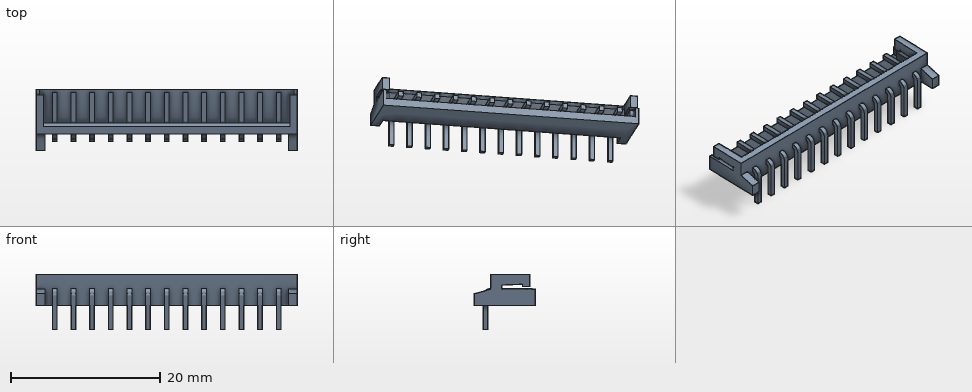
import cadquery as cq


length = 35.0
depth = 6.0
height = 4.2
floor_top = 1.0
side_thickness = 1.0

wall_top_thickness = 1.0
wall_base_thickness = 1.5
wall_slope_bottom = 3.5

rail_tip_thickness = 0.45
rail_thick_end_y = depth - 1.1
rail_top = 2.2
latch_tip_y = depth - 0.75
latch_lip = 1.0
latch_lip_bottom = 2.55
slot_end_y = 1.5
slot_tip_height = 2.85
slot_root_height = 2.75
slot_corner = 0.1

foot_width = 1.2
foot_reach = 2.2
foot_root_height = 2.2
foot_tip_height = 1.6

pin_count = 13
pin_pitch = 2.5
pin_size = 0.64
pin_top = 2.3
pin_drop = 3.2
pin_reach = 1.0
pin_bend_radius = 1.0
pin_end_y = depth - 0.45


def extrude_along_x(sketch, x_start, width):
    """Extrude a closed YZ outline by width, starting at x_start."""
    return sketch.extrude(width).translate((x_start, 0, 0))


def make_floor_and_wall():
    outline = (
        cq.Workplane("YZ")
        .moveTo(0, 0)
        .lineTo(depth, 0)
        .lineTo(depth, floor_top)
        .lineTo(wall_base_thickness, floor_top)
        .lineTo(wall_base_thickness, wall_slope_bottom)
        .lineTo(wall_top_thickness, height)
        .lineTo(0, height)
        .close()
    )
    return extrude_along_x(outline, -length / 2, length)


def make_rail():
    """Lower part of the left side wall, thinned near its open end."""
    outer_x = -length / 2
    return (
        cq.Workplane("XY")
        .moveTo(outer_x, 0)
        .lineTo(outer_x, depth)
        .lineTo(outer_x + rail_tip_thickness, depth)
        .lineTo(outer_x + rail_tip_thickness, rail_thick_end_y)
        .lineTo(outer_x + side_thickness, rail_thick_end_y)
        .lineTo(outer_x + side_thickness, 0)
        .close()
        .extrude(rail_top)
    )


def make_latch_arm():
    """Upper part of the left side wall, with a lip hanging from its free end."""
    lip_y = latch_tip_y - latch_lip
    outline = (
        cq.Workplane("YZ")
        .moveTo(0, floor_top)
        .lineTo(slot_end_y, floor_top)
        .lineTo(slot_end_y, slot_root_height - slot_corner)
        .lineTo(slot_end_y + slot_corner, slot_root_height)
        .lineTo(lip_y, slot_tip_height)
        .lineTo(lip_y, latch_lip_bottom)
        .lineTo(latch_tip_y, latch_lip_bottom)
        .lineTo(latch_tip_y, height)
        .lineTo(0, height)
        .close()
    )
    return extrude_along_x(outline, -length / 2, side_thickness)


def make_foot():
    outline = (
        cq.Workplane("YZ")
        .moveTo(0, 0)
        .lineTo(0, foot_root_height)
        .lineTo(-foot_reach, foot_tip_height)
        .lineTo(-foot_reach, 0)
        .close()
    )
    return extrude_along_x(outline, -length / 2, foot_width)


def make_pin(x_center):
    """Square pin along Y that bends down in front of the closed wall."""
    inner_radius = pin_bend_radius - pin_size
    bend_y = pin_bend_radius - pin_reach
    bend_z = pin_top - pin_bend_radius
    outline = (
        cq.Workplane("YZ")
        .moveTo(pin_end_y, pin_top)
        .lineTo(bend_y, pin_top)
        .radiusArc((-pin_reach, bend_z), -pin_bend_radius)
        .lineTo(-pin_reach, -pin_drop)
        .lineTo(-pin_reach + pin_size, -pin_drop)
        .lineTo(-pin_reach + pin_size, bend_z)
        .radiusArc((bend_y, bend_z + inner_radius), inner_radius)
        .lineTo(pin_end_y, bend_z + inner_radius)
        .close()
    )
    return extrude_along_x(outline, x_center - pin_size / 2, pin_size)


left_end = make_rail().union(make_latch_arm()).union(make_foot())
right_end = left_end.mirror("YZ")
result = make_floor_and_wall().union(left_end).union(right_end)

for index in range(pin_count):
    pin_x = (index - (pin_count - 1) / 2) * pin_pitch
    result = result.union(make_pin(pin_x))